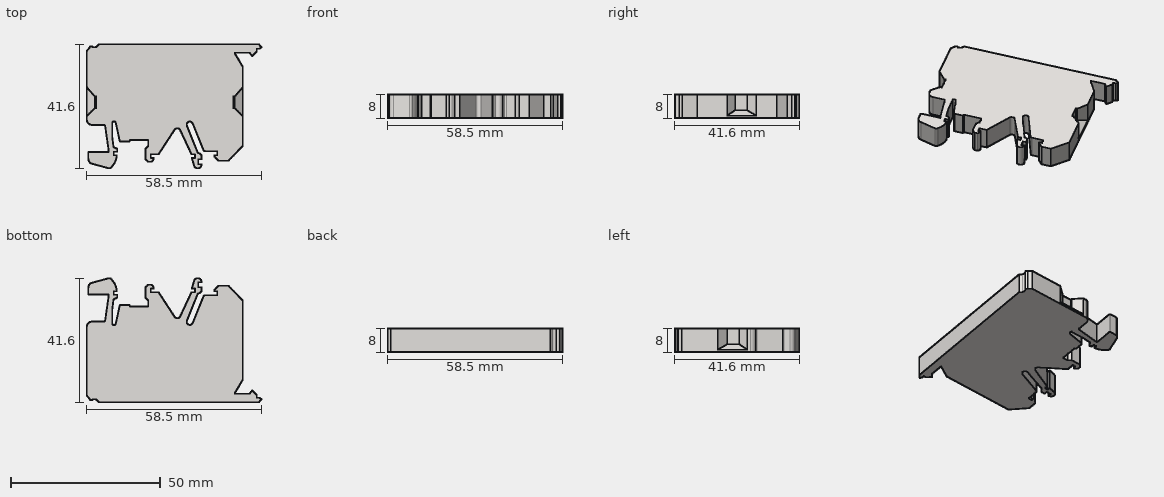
import cadquery as cq

length = 58.5
height = 41.6
thickness = 8.0
body_width = 52.25

corner_y = 39.3
shoulder_y = 14.5
shoulder_radius = 1.9
small_radius = 0.3
seat_y = 9.5
seat_pad_y = 8.95
foot_left_x = 0.5
foot_top_y = 5.55
foot_notch_y = 4.45
foot_inner_x = 9.1
leg_inner_x = 8.6
slot_end_y = 15.45
hook_left_x = 19.65
hook_neck_x = 20.6
hook_notch_x = 21.45
hook_tip_y = 2.15
notch_top_y = 4.7
leg_notch_x = 36.2
leg_right_x = 38.45
leg_groove_x = 37.3
leg_groove_bottom_y = 1.4
leg_groove_top_y = 3.05
right_seat_y = 5.75
right_notch_x = 43.6
right_notch_y = 4.45
right_lip_x = 42.6
right_foot_y = 2.5
arm_bottom_y = 38.6
arm_step_x = 56.9
arm_step_y = 40.0

pocket_low_y = 17.45
pocket_high_y = 27.2
pocket_low_taper = 2.7
pocket_high_taper = 3.1
pocket_slope_depth = 2.7
pocket_depth = 3.2
pocket_lip_z = 0.9
pocket_floor_z = 2.7


def left_foot(path):
    """Left shoulder, flexible leg and its wedge-shaped foot."""
    return (
        path.lineTo(0, shoulder_y + shoulder_radius)
        .radiusArc((shoulder_radius, shoulder_y), -shoulder_radius)
        .lineTo(6.15 - small_radius, shoulder_y)
        .radiusArc((6.15, shoulder_y - small_radius), small_radius)
        .lineTo(7.4, foot_top_y)
        .lineTo(foot_left_x + small_radius, foot_top_y)
        .radiusArc((foot_left_x, foot_top_y - small_radius), -small_radius)
        .lineTo(foot_left_x, 3.3)
        .threePointArc((0.9, 2.15), (1.9, 1.5))
        .lineTo(7.2, 0.05)
        .threePointArc((7.55, 0), (8.2, 0.35))
        .threePointArc((9.55, 2.15), (10.1, foot_notch_y))
        .lineTo(foot_inner_x, foot_notch_y)
        .lineTo(foot_inner_x, foot_top_y)
        .lineTo(10.3, foot_top_y)
        .lineTo(10.3, 6.55)
        .lineTo(9.0, 7.15)
        .lineTo(leg_inner_x, 10.6)
    )


def slot_and_seat(path):
    """Narrow slot behind the leg, then the rail seat."""
    return (
        path.lineTo(leg_inner_x, slot_end_y)
        .threePointArc((9.1, 15.7), (9.65, slot_end_y))
        .lineTo(10.95, seat_y)
        .threePointArc((11.1, 9.1), (11.4, seat_pad_y))
        .lineTo(14.3, seat_pad_y)
        .lineTo(14.55, seat_y)
        .lineTo(hook_neck_x - small_radius, seat_y)
        .radiusArc((hook_neck_x, seat_y - small_radius), small_radius)
    )


def middle_hook(path):
    """Short hook between the rail seat and the V gap."""
    return (
        path.lineTo(hook_neck_x, 7.55)
        .lineTo(hook_left_x, 6.6)
        .lineTo(hook_left_x, 3.05)
        .lineTo(hook_neck_x, hook_tip_y)
        .lineTo(hook_notch_x, hook_tip_y)
        .threePointArc((22.2, 2.65), (22.4, 3.5))
        .lineTo(hook_notch_x, 3.5)
        .lineTo(hook_notch_x, notch_top_y)
        .lineTo(24.05, notch_top_y)
    )


def slanted_leg(path):
    """V gap with a round apex, the slanted leg and the slot behind it."""
    return (
        path.lineTo(29.4, 12.9)
        .threePointArc((30.3, 13.4), (31.2, 12.9))
        .lineTo(35.05, notch_top_y)
        .lineTo(leg_notch_x, notch_top_y)
        .lineTo(leg_notch_x, 3.5)
        .lineTo(35.1, 3.5)
        .lineTo(36.0, 0.65)
        .threePointArc((37.1, 0), (leg_right_x, leg_groove_bottom_y))
        .lineTo(leg_groove_x, leg_groove_bottom_y)
        .lineTo(leg_groove_x, leg_groove_top_y)
        .lineTo(leg_right_x, leg_groove_top_y)
        .lineTo(leg_right_x, 4.3)
        .threePointArc((38.0, 4.85), (37.2, 5.2))
        .lineTo(33.5, 14.35)
        .threePointArc((34.35, 15.6), (35.45, 14.9))
        .lineTo(39.0, 6.15)
        .threePointArc((39.25, 5.85), (39.6, right_seat_y))
    )


def right_foot(path):
    """Fixed right foot with its undercut lip and sloped corner."""
    return (
        path.lineTo(right_notch_x, right_seat_y)
        .lineTo(right_notch_x, right_notch_y)
        .lineTo(right_lip_x, right_notch_y)
        .lineTo(right_lip_x, 4.1)
        .lineTo(44.05, right_foot_y)
        .lineTo(47.3, right_foot_y)
        .lineTo(body_width, 7.5)
    )


def latch_arm(path):
    """Upper right cutaway and the barbed arm above it."""
    return (
        path.lineTo(body_width, 34.0)
        .lineTo(49.5, arm_bottom_y)
        .lineTo(54.45, arm_bottom_y)
        .lineTo(55.4, 37.55)
        .lineTo(arm_step_x, 39.1)
        .lineTo(arm_step_x, arm_step_y)
        .lineTo(57.85, arm_step_y)
        .lineTo(length, 40.55)
        .lineTo(57.5, height)
    )


def top_left_corner(path):
    """Finger dip and small rounded nub at the upper left corner."""
    return (
        path.lineTo(4.1, height)
        .lineTo(3.45, 40.85)
        .threePointArc((2.75, 40.55), (2.1, 40.6))
        .threePointArc((1.6, 40.9), (1.0, 40.4))
        .lineTo(0, corner_y)
    )


def side_pocket():
    """Pocket cutter for the left face: tapered sides and a ramp up to a flat floor."""
    inner_low_y = pocket_low_y + pocket_low_taper
    inner_high_y = pocket_high_y - pocket_high_taper
    plan = (
        cq.Workplane("XY")
        .moveTo(0, pocket_low_y)
        .lineTo(pocket_slope_depth, inner_low_y)
        .lineTo(pocket_depth, inner_low_y)
        .lineTo(pocket_depth, inner_high_y)
        .lineTo(pocket_slope_depth, inner_high_y)
        .lineTo(0, pocket_high_y)
        .close()
        .extrude(thickness)
    )
    floor_profile = (
        cq.Workplane("XZ")
        .moveTo(0, pocket_lip_z)
        .lineTo(pocket_slope_depth, pocket_floor_z)
        .lineTo(pocket_depth, pocket_floor_z)
        .lineTo(pocket_depth, thickness)
        .lineTo(0, thickness)
        .close()
        .extrude(-height)
    )
    return plan.intersect(floor_profile)


outline = cq.Workplane("XY").moveTo(0, corner_y)
for section in (
    left_foot,
    slot_and_seat,
    middle_hook,
    slanted_leg,
    right_foot,
    latch_arm,
    top_left_corner,
):
    outline = section(outline)
body = outline.close().extrude(thickness)

left_pocket = side_pocket()
right_pocket = left_pocket.mirror("YZ").translate((body_width, 0, 0))
result = body.cut(left_pocket).cut(right_pocket)